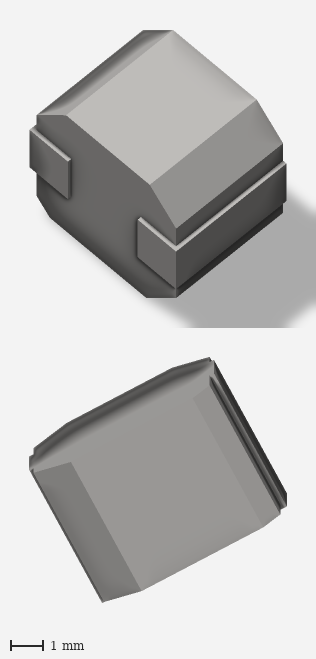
import cadquery as cq

overall_width = 6.5
overall_depth = 4.8
body_size = 6.2
terminal_thickness = (overall_width - body_size) / 2
body_depth = overall_depth - terminal_thickness

large_chamfer = 1.32
medium_chamfer = 1.17
small_chamfer = 0.6

terminal_height = 2.0
pad_length = 1.7


def make_housing():
    """Square block with chamfered corners, its front face at Y = 0."""
    half = body_size / 2
    outline = [
        (-half + large_chamfer, half),
        (half - medium_chamfer, half),
        (half, half - medium_chamfer),
        (half, -half + large_chamfer),
        (half - large_chamfer, -half),
        (-half + small_chamfer, -half),
        (-half, -half + small_chamfer),
        (-half, half - large_chamfer),
    ]
    return cq.Workplane("XZ").polyline(outline).close().extrude(-body_depth)


def make_terminal(side):
    """L-shaped strip along one side wall and folded over the front face; side is -1 or +1."""
    outer = side * overall_width / 2
    wall = side * body_size / 2
    pad_end = outer - side * pad_length
    profile = [
        (outer, -terminal_thickness),
        (pad_end, -terminal_thickness),
        (pad_end, 0),
        (wall, 0),
        (wall, body_depth),
        (outer, body_depth),
    ]
    return (
        cq.Workplane("XY")
        .polyline(profile)
        .close()
        .extrude(terminal_height / 2, both=True)
    )


housing = make_housing()
terminals = [make_terminal(side).val() for side in (-1, 1)]

result = cq.Compound.makeCompound([housing.val(), *terminals])